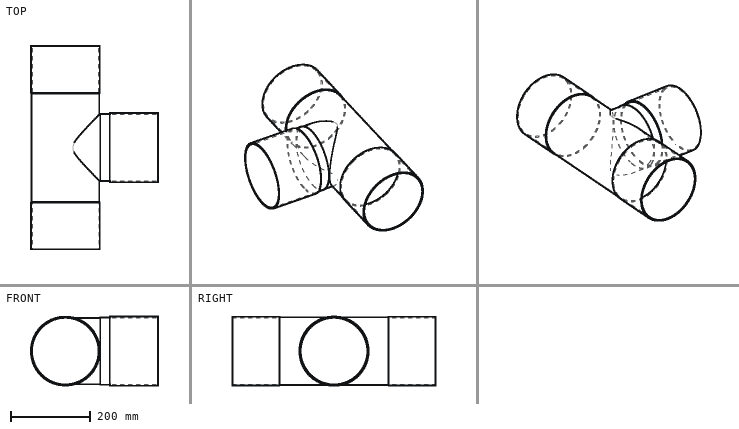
import cadquery as cq

run_length = 514
body_diameter = 172.0
run_sleeve_diameter = 175
run_sleeve_length = 118
shoulder_length = 2.0
bore_diameter = 168.0

branch_reach = 235.0
branch_sleeve_diameter = 176.0
branch_sleeve_length = 122.5
saddle_diameter = 168.0
neck_diameter = 170.0
neck_start = 88.5

run_end = run_length / 2
run_sleeve_start = run_end - run_sleeve_length
branch_sleeve_start = branch_reach - branch_sleeve_length


def cylinder_x(diameter, start, end):
    """Solid cylinder on the X axis between two X positions."""
    return cq.Workplane("YZ").workplane(offset=start).circle(diameter / 2).extrude(end - start)


def make_run():
    """Main run: slim body between two sleeves, joined by short conical shoulders."""
    body_radius = body_diameter / 2
    sleeve_radius = run_sleeve_diameter / 2
    shoulder_end = run_sleeve_start - shoulder_length
    profile = [
        (0, -run_end),
        (sleeve_radius, -run_end),
        (sleeve_radius, -run_sleeve_start),
        (body_radius, -shoulder_end),
        (body_radius, shoulder_end),
        (sleeve_radius, run_sleeve_start),
        (sleeve_radius, run_end),
        (0, run_end),
    ]
    return cq.Workplane("XY").polyline(profile).close().revolve(360, (0, 0, 0), (0, 1, 0))


def make_branch():
    """Branch: saddle stub, slightly wider neck, then the sleeve."""
    stub = cylinder_x(saddle_diameter, 0, neck_start)
    neck = cylinder_x(neck_diameter, neck_start, branch_sleeve_start)
    sleeve = cylinder_x(branch_sleeve_diameter, branch_sleeve_start, branch_reach)
    return stub.union(neck).union(sleeve)


branch_socket = cylinder_x(bore_diameter, branch_sleeve_start, branch_reach)
run_socket = cylinder_x(bore_diameter, run_sleeve_start, run_end)

result = make_run().union(make_branch()).cut(branch_socket)
for angle in (90, -90):
    result = result.cut(run_socket.rotate((0, 0, 0), (0, 0, 1), angle))